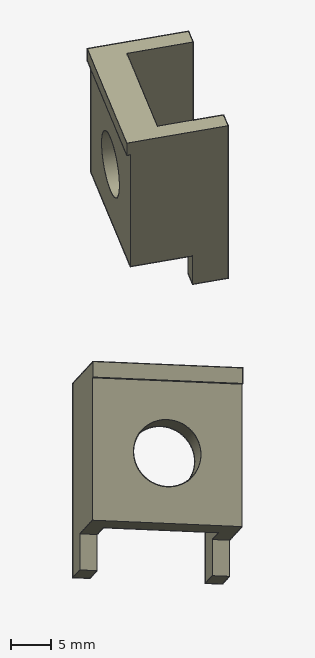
import cadquery as cq

width = 18.9
depth = 13.0
height = 24.6

wall = 2.2
web = 4.5
lip_height = 2.0
lip_depth = 0.45

leg_height = 4.58
leg_depth = 4.58

hole_diameter = 8.49
hole_z = 13.48


def u_channel():
    """Full-height block, opened at the back between the side walls."""
    block = cq.Workplane("XY").box(width, depth, height, centered=(True, False, False))
    opening = (
        cq.Workplane("XY")
        .box(width - 2 * wall, depth - web, height, centered=(True, False, False))
        .translate((0, web, 0))
    )
    return block.cut(opening)


def lip_relief():
    """Front layer removed below the lip."""
    return cq.Workplane("XY").box(
        width, lip_depth, height - lip_height, centered=(True, False, False)
    )


def leg_relief():
    """Space in front of the legs, under the body."""
    return cq.Workplane("XY").box(
        width, depth - leg_depth, leg_height, centered=(True, False, False)
    )


def web_hole():
    """Round hole running front to back through the web."""
    return (
        cq.Workplane("XZ")
        .center(0, hole_z)
        .circle(hole_diameter / 2)
        .extrude(-web)
    )


result = u_channel().cut(lip_relief()).cut(leg_relief()).cut(web_hole())